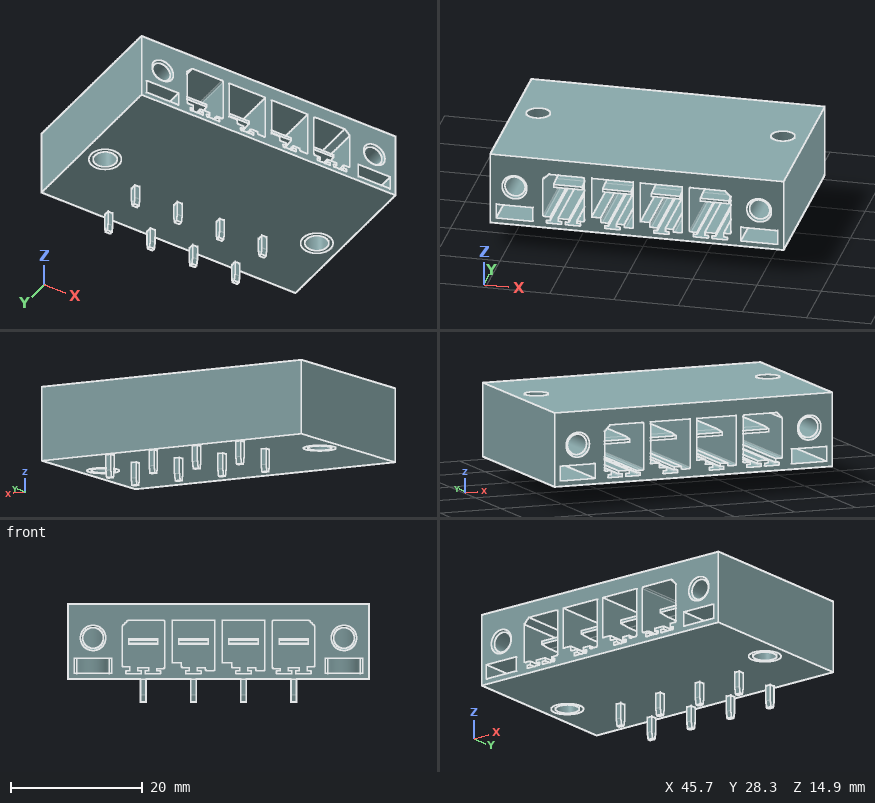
import cadquery as cq


width = 45.7
depth = 28.3
height = 11.45

pole_count = 4
pole_pitch = width / (pole_count + 2)
pole_xs = [(i - (pole_count - 1) / 2) * pole_pitch for i in range(pole_count)]
screw_x = (pole_count + 1) / 2 * pole_pitch
screw_xs = [-screw_x, screw_x]

cavity_half_width = 3.25
end_cavity_outer_reach = 3.2
cavity_top = 8.95
cavity_depth = 17.37
corner_chamfer = 0.9
corner_radius = 0.25

keyway_bottom = 0.82
keyway_shoulder = 1.3
keyway_ledge = 1.75
keyway_width = 2.4
neck_width = 1.25
keyway_radius = 0.15
end_keyway_offset = 1.45

end_pole_outer_floor = 1.87
end_pole_inner_floor = 1.6
middle_pole_left_floor = 2.5
middle_pole_right_floor = keyway_shoulder
ledge_half_width = 1.85
ledge_radius = 0.25

blade_width = 4.45
blade_thickness = 0.82
blade_z = 5.7
blade_tip_y = 3.0
blade_tip_bevel = 0.2
blade_tip_bevel_length = 1.9
leg_thickness = 0.85
leg_width = 1.0
leg_length = 3.47
leg_tip_length = 1.1
leg_tip_inset = 0.25
rear_leg_y = depth - 1.05
leg_ys = [rear_leg_y - pole_pitch, rear_leg_y]

screw_y = 16.28
bushing_bore = 3.65
bushing_diameter = 4.95
bushing_height = 8.45
front_hole_diameter = 3.15
front_hole_mouth = 3.85
front_hole_chamfer = (front_hole_mouth - front_hole_diameter) / 2
countersink_half_angle = 45
front_hole_z = 6.25
nut_slot_width = 5.7
nut_slot_bottom = 0.85
nut_slot_height = 2.3
nut_slot_depth = screw_y + nut_slot_width / 2
nut_slot_radius = 0.4


def block(x_min, x_max, y_min, y_max, z_min, z_max):
    """Box given by its limits."""
    size = (x_max - x_min, y_max - y_min, z_max - z_min)
    return cq.Workplane("XY").box(*size, centered=False).translate((x_min, y_min, z_min))


def cavity_block(x_min, x_max, z_min, z_max):
    """Box that runs the full depth of a plug cavity."""
    return block(x_min, x_max, 0, cavity_depth, z_min, z_max)


def keyway(x, neck_top):
    """T-shaped keyway around x, with a neck that reaches up to neck_top."""
    foot = cavity_block(x - keyway_width / 2, x + keyway_width / 2, keyway_bottom, keyway_shoulder)
    foot = foot.edges("|Y").fillet(keyway_radius)
    neck = cavity_block(x - neck_width / 2, x + neck_width / 2, keyway_bottom, neck_top)
    return foot.union(neck)


def end_cavity():
    """Cavity of the leftmost pole: one chamfered upper corner and two keyways."""
    outer = cavity_block(-end_cavity_outer_reach, 0, end_pole_outer_floor, cavity_top)
    outer = outer.edges("|Y and <X and >Z").chamfer(corner_chamfer)
    outer = outer.edges("|Y and <X and <Z").fillet(corner_radius)
    inner = cavity_block(0, cavity_half_width, end_pole_inner_floor, cavity_top)
    inner = inner.edges("|Y and >X").fillet(corner_radius)
    half_tongue = end_keyway_offset - neck_width / 2
    tongue = cavity_block(-half_tongue, half_tongue, 0, keyway_ledge)
    above_tongue = cavity_block(-half_tongue, half_tongue, keyway_ledge, cavity_top)
    cavity = outer.union(inner).cut(tongue).union(above_tongue)
    for x in (-end_keyway_offset, end_keyway_offset):
        cavity = cavity.union(keyway(x, end_pole_outer_floor))
    return cavity


def middle_cavity():
    """Cavity of a middle pole: a stepped floor with one keyway."""
    left = cavity_block(-cavity_half_width, 0, middle_pole_left_floor, cavity_top)
    ledge = cavity_block(-ledge_half_width, ledge_half_width, keyway_ledge, cavity_top)
    ledge = ledge.edges("|Y and <X and <Z").fillet(ledge_radius)
    right = cavity_block(ledge_half_width, cavity_half_width, middle_pole_right_floor, cavity_top)
    right = right.edges("|Y and <Z").fillet(corner_radius)
    return left.union(ledge).union(right).union(keyway(0, keyway_ledge))


def bushing(x):
    """Tube standing on the underside of the housing."""
    tube = cq.Workplane("XY").circle(bushing_diameter / 2).circle(bushing_bore / 2).extrude(bushing_height)
    return tube.translate((x, screw_y, 0))


def screw_openings(x):
    """Bushing seat, upright screw hole, countersunk front hole and front slot at one end."""
    seat = cq.Workplane("XY").circle(bushing_diameter / 2).extrude(bushing_height)
    upright_hole = cq.Workplane("XY").circle(bushing_bore / 2).extrude(height)
    upright = seat.union(upright_hole).translate((x, screw_y, 0))
    front = cq.Workplane("XZ", origin=(x, 0, front_hole_z))
    front_hole = front.circle(front_hole_diameter / 2).extrude(-screw_y)
    mouth = front.circle(front_hole_mouth / 2).extrude(-front_hole_chamfer, taper=countersink_half_angle)
    half_width = nut_slot_width / 2
    slot_top = nut_slot_bottom + nut_slot_height
    slot = block(x - half_width, x + half_width, 0, nut_slot_depth, nut_slot_bottom, slot_top)
    slot = slot.edges("|Z and >Y").fillet(nut_slot_radius)
    return upright.union(front_hole).union(mouth).union(slot)


def terminal(x):
    """Blade with a chamfered tip and two legs with tapered tips."""
    half_width = blade_width / 2
    blade_bottom = blade_z - blade_thickness / 2
    blade_back = rear_leg_y + leg_width / 2
    blade_top = blade_bottom + blade_thickness
    bevel_y = blade_tip_y + blade_tip_bevel_length
    profile = [
        (blade_back, blade_bottom),
        (bevel_y, blade_bottom),
        (blade_tip_y, blade_bottom + blade_tip_bevel),
        (blade_tip_y, blade_top - blade_tip_bevel),
        (bevel_y, blade_top),
        (blade_back, blade_top),
    ]
    body = cq.Workplane("YZ").polyline(profile).close().extrude(half_width, both=True)
    for y in leg_ys:
        half_leg = leg_width / 2
        taper_z = leg_tip_length - leg_length
        outline = [
            (y - half_leg, blade_z),
            (y - half_leg, taper_z),
            (y - half_leg + leg_tip_inset, -leg_length),
            (y + half_leg - leg_tip_inset, -leg_length),
            (y + half_leg, taper_z),
            (y + half_leg, blade_z),
        ]
        leg = cq.Workplane("YZ").polyline(outline).close().extrude(leg_thickness / 2, both=True)
        body = body.union(leg)
    return body.translate((x, 0, 0))


def housing_body(terminals):
    """Block with the plug cavities, the screw openings and close-fitting seats for the terminals."""
    body = block(-width / 2, width / 2, 0, depth, 0, height)
    left_cavity = end_cavity()
    cavities = [left_cavity, middle_cavity(), middle_cavity(), left_cavity.mirror("YZ")]
    for x, cavity in zip(pole_xs, cavities):
        body = body.cut(cavity.translate((x, 0, 0)))
    for x in screw_xs:
        body = body.cut(screw_openings(x))
    for pin in terminals:
        body = body.cut(pin)
    return body


terminals = [terminal(x) for x in pole_xs]
bushings = [bushing(x) for x in screw_xs]
housing = housing_body(terminals)

bodies = [housing, *terminals, *bushings]
result = cq.Compound.makeCompound([body.val() for body in bodies])